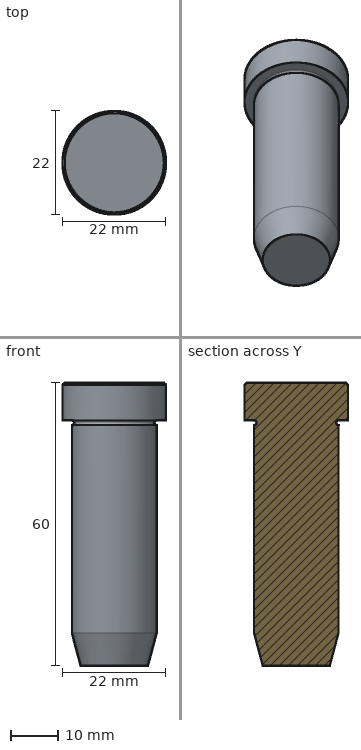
import cadquery as cq
import math

total_length = 60.0

head_diameter = 22.0
head_height = 8.0
head_chamfer = 0.5

shank_diameter = 18.0

groove_arc_radius = 0.5

tip_length = 7.0
tip_half_angle = 15.0

head_radius = head_diameter / 2
shank_radius = shank_diameter / 2
groove_floor_radius = shank_radius - groove_arc_radius
tip_radius = shank_radius - tip_length * math.tan(math.radians(tip_half_angle))

head_top = head_height
groove_middle = -groove_arc_radius
groove_bottom = -2 * groove_arc_radius
tip_end = head_height - total_length
tip_start = tip_end + tip_length


def make_pin():
    """Revolve the half profile (radius, height) about the Z axis."""
    profile = (
        cq.Workplane("XZ")
        .moveTo(0, tip_end)
        .lineTo(tip_radius, tip_end)
        .lineTo(shank_radius, tip_start)
        .lineTo(shank_radius, groove_bottom)
        .radiusArc((groove_floor_radius, groove_middle), groove_arc_radius)
        .radiusArc((shank_radius, 0), groove_arc_radius)
        .lineTo(head_radius, 0)
        .lineTo(head_radius, head_top - head_chamfer)
        .lineTo(head_radius - head_chamfer, head_top)
        .lineTo(0, head_top)
        .close()
    )
    return profile.revolve(360, (0, 0, 0), (0, 1, 0))


result = make_pin()